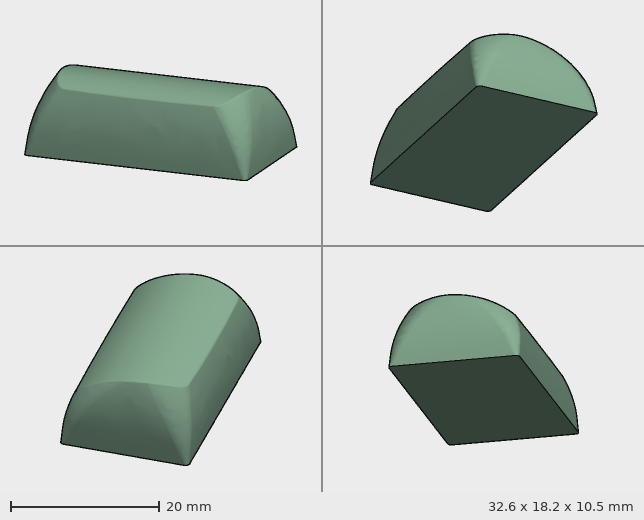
import cadquery as cq
import math

LENGTH = 32.55
WIDTH = 18.23
HEIGHT = 10.52

SKIRT_HEIGHT = 1.63
END_WALL_RADIUS = 17.25
FRONT_WALL_RADIUS = 21.5
BACK_WALL_RADIUS = 12.37

CROWN_RADIUS = 15.3
CROWN_Y = -1.92
RIM_FILLET = 0.4

BASE_CORNER = 0.52
TOP_CORNER_X = 3.9
TOP_CORNER_Y = 4.8
CORNER_GROWTH = 0.9
WALL_BOW = 0.15

LOFT_HEIGHT = HEIGHT + 0.65
LOFT_STEPS = 8
CORNER_FULLNESS = 0.45


def wall_inset(radius, z):
    """Inward offset at height z of a wall arc that starts tangent to the skirt."""
    climb = max(z - SKIRT_HEIGHT, 0)
    return radius - math.sqrt(radius**2 - climb**2)


def section(z):
    """Closed outline at height z: four bowed walls joined by soft corners."""
    rise = z / HEIGHT
    x_wall = LENGTH / 2 - wall_inset(END_WALL_RADIUS, z)
    y_back = WIDTH / 2 - wall_inset(BACK_WALL_RADIUS, z)
    y_front = -WIDTH / 2 + wall_inset(FRONT_WALL_RADIUS, z)
    reach_x = BASE_CORNER + (TOP_CORNER_X - BASE_CORNER) * rise**CORNER_GROWTH
    reach_y = BASE_CORNER + (TOP_CORNER_Y - BASE_CORNER) * rise**CORNER_GROWTH
    bow = WALL_BOW * rise
    y_mid = (y_back + y_front) / 2

    walls = [
        [(-x_wall + reach_x, y_front + bow), (0, y_front - bow), (x_wall - reach_x, y_front + bow)],
        [(x_wall - bow, y_front + reach_y), (x_wall + bow, y_mid), (x_wall - bow, y_back - reach_y)],
        [(x_wall - reach_x, y_back - bow), (0, y_back + bow), (-x_wall + reach_x, y_back - bow)],
        [(-x_wall + bow, y_back - reach_y), (-x_wall - bow, y_mid), (-x_wall + bow, y_front + reach_y)],
    ]
    reaches = [reach_x, reach_y, reach_x, reach_y]

    edges = []
    for i, wall in enumerate(walls):
        j = (i + 1) % len(walls)
        start, handle, end = [cq.Vector(x, y, z) for x, y in wall]
        next_start, next_handle, _ = [cq.Vector(x, y, z) for x, y in walls[j]]
        leave = (end - handle).normalized() * (CORNER_FULLNESS * reaches[i])
        arrive = (next_start - next_handle).normalized() * (CORNER_FULLNESS * reaches[j])
        edges.append(cq.Edge.makeBezier([start, handle, end]))
        edges.append(cq.Edge.makeBezier([end, end + leave, next_start + arrive, next_start]))
    return cq.Wire.assembleEdges(edges)


def make_body():
    levels = [LOFT_HEIGHT * i / LOFT_STEPS for i in range(LOFT_STEPS + 1)]
    return cq.Workplane(cq.Solid.makeLoft([section(z) for z in levels]))


def make_crown():
    return (
        cq.Workplane("YZ")
        .center(CROWN_Y, HEIGHT - CROWN_RADIUS)
        .circle(CROWN_RADIUS)
        .extrude(LENGTH, both=True)
    )


body = make_body().intersect(make_crown())
result = body.faces(">Z").edges().fillet(RIM_FILLET)